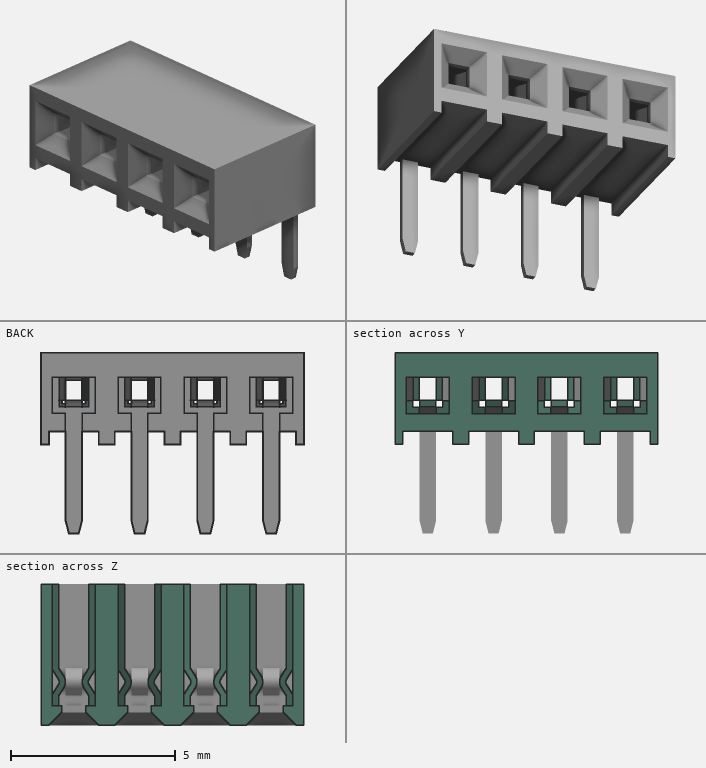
import cadquery as cq
import math


socket_count = 4
pitch = 2.0
row_length = socket_count * pitch
housing_depth = 4.3
body_height = 2.4
foot_height = 0.4
mouth_size = 1.5
funnel_depth = 0.4
throat_size = mouth_size - 2 * funnel_depth
lip_length = 0.2

sheet = 0.2
channel_half = 0.45
channel_outer_half = channel_half + sheet
cavity_front = funnel_depth + lip_length
overall_height = 5.5
leg_width = 0.5
tip_width = 0.3
tip_height = 0.4

contact_gap = 0.5
bow_front = 0.9
bow_angle = math.radians(32)
crest_radius = 0.34
bow_rise = channel_half - contact_gap / 2
ramp_rise = bow_rise - crest_radius * (1 - math.cos(bow_angle))
ramp_run = ramp_rise / math.tan(bow_angle)
bow_half_length = ramp_run + crest_radius * math.sin(bow_angle)

body_top = body_height / 2
body_bottom = -body_height / 2
leg_bottom = body_top - overall_height
socket_centres = [(i - (socket_count - 1) / 2) * pitch for i in range(socket_count)]


def block(x0, x1, y0, y1, z0, z1):
    """Box between the given limits on each axis."""
    return cq.Workplane("XY").box(x1 - x0, y1 - y0, z1 - z0, centered=False).translate((x0, y0, z0))


def channel_envelope():
    """Space filled by a contact channel and its interior, open at the back of the housing."""
    return block(
        -channel_outer_half, channel_outer_half,
        cavity_front, housing_depth,
        -channel_outer_half, channel_half,
    )


def leg_slot():
    """Slot in the back face that takes the leg below the channel."""
    return block(
        -leg_width / 2, leg_width / 2,
        housing_depth - sheet, housing_depth,
        body_bottom, -channel_outer_half,
    )


def socket_opening():
    """Funnel, throat, contact cavity and leg slot of one socket."""
    funnel = (
        cq.Workplane("XZ")
        .rect(mouth_size, mouth_size)
        .workplane(offset=-funnel_depth)
        .rect(throat_size, throat_size)
        .loft(combine=True)
    )
    throat_half = throat_size / 2
    throat = block(-throat_half, throat_half, funnel_depth, cavity_front, -throat_half, throat_half)
    return funnel.union(throat).union(channel_envelope()).union(leg_slot())


def foot_notch():
    """Full-depth gap between two neighbouring feet."""
    return block(
        -mouth_size / 2, mouth_size / 2,
        0, housing_depth,
        body_bottom - foot_height, body_bottom,
    )


def make_housing():
    """Block with a row of sockets, standing on feet between the legs."""
    housing = block(
        -row_length / 2, row_length / 2,
        0, housing_depth,
        body_bottom - foot_height, body_top,
    )
    for x in socket_centres:
        housing = housing.cut(foot_notch().translate((x, 0, 0)))
        housing = housing.cut(socket_opening().translate((x, 0, 0)))
    return housing


def spring_bow(x0, x1):
    """Arched strip rising from the channel floor: a ramp, a rounded crest and a ramp back down."""
    crest_y = bow_front + bow_half_length
    bow_back = bow_front + 2 * bow_half_length
    floor = -channel_half
    crest = floor + bow_rise
    bend_offset = sheet * math.tan(bow_angle / 2)
    inner_radius = crest_radius - sheet
    arc_centre = crest - crest_radius
    outer_y = crest_radius * math.sin(bow_angle)
    outer_z = arc_centre + crest_radius * math.cos(bow_angle)
    inner_y = inner_radius * math.sin(bow_angle)
    inner_z = arc_centre + inner_radius * math.cos(bow_angle)
    profile = (
        cq.Workplane("YZ")
        .moveTo(bow_front, floor)
        .lineTo(crest_y - outer_y, outer_z)
        .threePointArc((crest_y, crest), (crest_y + outer_y, outer_z))
        .lineTo(bow_back, floor)
        .lineTo(bow_back, floor - sheet)
        .lineTo(bow_back - bend_offset, floor - sheet)
        .lineTo(crest_y + inner_y, inner_z)
        .threePointArc((crest_y, crest - sheet), (crest_y - inner_y, inner_z))
        .lineTo(bow_front + bend_offset, floor - sheet)
        .lineTo(bow_front, floor - sheet)
        .close()
    )
    return profile.extrude(x1 - x0).translate((x0, 0, 0))


def bow_window(x0, x1):
    """Opening in the channel floor from which a bow is pressed."""
    return block(
        x0, x1,
        bow_front, bow_front + 2 * bow_half_length,
        -channel_outer_half, -channel_half,
    )


def on_left_wall(shape):
    """Turn a floor feature about the socket axis onto the -X wall."""
    return shape.rotate((0, 0, 0), (0, 1, 0), 90)


def contact_leg():
    """Flat leg with a tapered tip, flush with the back of the housing."""
    half = leg_width / 2
    tip_half = tip_width / 2
    outline = [
        (-half, -channel_half),
        (half, -channel_half),
        (half, leg_bottom + tip_height),
        (tip_half, leg_bottom),
        (-tip_half, leg_bottom),
        (-half, leg_bottom + tip_height),
    ]
    leg = cq.Workplane("XZ").polyline(outline).close().extrude(sheet)
    return leg.translate((0, housing_depth, 0))


def make_contact():
    """U-shaped channel, open at the top, with three spring bows and a leg bent down at the back."""
    interior = block(
        -channel_half, channel_half,
        cavity_front, housing_depth,
        -channel_half, channel_half,
    )
    contact = channel_envelope().cut(interior)

    floor_limits = (-leg_width / 2, leg_width / 2)
    wall_limits = (-channel_half, leg_width / 2)
    left_window = on_left_wall(bow_window(*wall_limits))
    left_bow = on_left_wall(spring_bow(*wall_limits))

    for window in (bow_window(*floor_limits), left_window, left_window.mirror("YZ")):
        contact = contact.cut(window)
    for bow in (spring_bow(*floor_limits), left_bow, left_bow.mirror("YZ")):
        contact = contact.union(bow)
    return contact.union(contact_leg())


housing = make_housing().solids()
contacts = [make_contact().translate((x, 0, 0)).solids() for x in socket_centres]

result = cq.Compound.makeCompound([housing.val(), *[contact.val() for contact in contacts]])